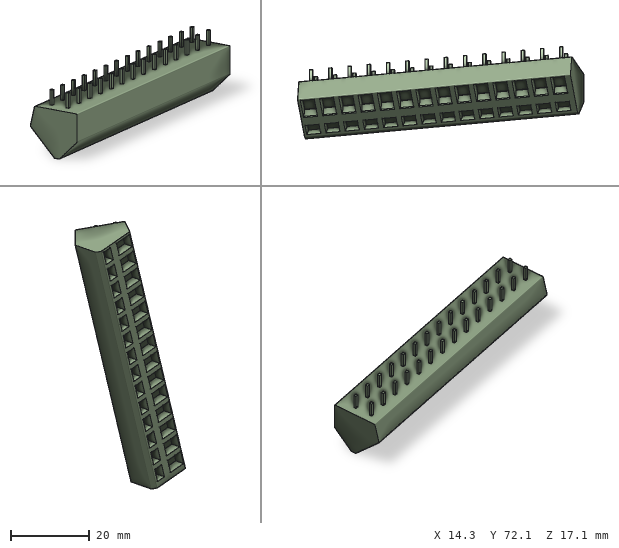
import cadquery as cq
import math

length = 72.1
positions = 14
end_wall = 0.95
pitch = (length - end_wall) / positions

housing_height = 13.0
top_width = 13.0
front_corner_z = 7.4
front_lean = math.radians(13.5)
full_width = top_width + (housing_height - front_corner_z) * math.tan(front_lean)
back_corner_z = 5.4
edge_radius = 0.4

pin_height = 4.05
pin_size_x = 0.7
pin_size_y = 0.8
pin_rows_x = (-9.95, -5.0)

pocket_width = 3.7
pocket_depth = 2.9
wire_pocket_heights = (0.4, 2.2)
lever_pocket_heights = (3.8, 7.2)
ramp_start_depth = 0.8
ramp_end_depth = 2.5
ramp_tilt = math.radians(12.8)


def position_y(index):
    """Y of one terminal position, counted from the +Y end; the housing is centred on Y = 0."""
    return length / 2 - (index + 0.5) * pitch


def entry_point(height, depth=0.0):
    """Point at a depth square to the entry face, measured from the face at the given height."""
    inward = depth / math.sqrt(2)
    face_x = -full_width + front_corner_z - height
    return (face_x + inward, height + inward)


def extrude_along_y(points, width, center_y):
    """Prism with an XZ outline, centred on center_y."""
    outline = cq.Workplane("XZ", origin=(0, center_y, 0)).polyline(points).close()
    return outline.extrude(width / 2, both=True)


def make_housing():
    profile = [
        (0, housing_height),
        (-top_width, housing_height),
        (-full_width, front_corner_z),
        entry_point(0),
        (-back_corner_z, 0),
        (0, back_corner_z),
    ]
    return extrude_along_y(profile, length, 0).edges("|Y").fillet(edge_radius)


def wire_pocket(center_y):
    lower, upper = wire_pocket_heights
    outline = [
        entry_point(lower),
        entry_point(lower, pocket_depth),
        entry_point(upper, pocket_depth),
        entry_point(upper),
    ]
    return extrude_along_y(outline, pocket_width, center_y)


def lever_pocket(center_y):
    """Pocket whose lower part ends on a steep ramp, with a short step from there to the floor."""
    lower, upper = lever_pocket_heights
    ramp_x, ramp_z = entry_point(lower, ramp_start_depth)
    depth_per_rise = (1 + math.tan(ramp_tilt)) / math.sqrt(2)
    rise = (ramp_end_depth - ramp_start_depth) / depth_per_rise
    ramp_top_x = ramp_x + rise * math.tan(ramp_tilt)
    ramp_top_z = ramp_z + rise
    step = (pocket_depth - ramp_end_depth) / math.sqrt(2)
    outline = [
        entry_point(lower),
        (ramp_x, ramp_z),
        (ramp_top_x, ramp_top_z),
        (ramp_top_x + step, ramp_top_z + step),
        entry_point(upper, pocket_depth),
        entry_point(upper),
    ]
    return extrude_along_y(outline, pocket_width, center_y)


def make_pins():
    centers = [(x, position_y(i)) for x in pin_rows_x for i in range(positions)]
    base = cq.Workplane("XY", origin=(0, 0, housing_height)).pushPoints(centers)
    return base.rect(pin_size_x, pin_size_y).extrude(pin_height)


result = make_housing()
for i in range(positions):
    result = result.cut(wire_pocket(position_y(i)))
    result = result.cut(lever_pocket(position_y(i)))
result = result.union(make_pins())